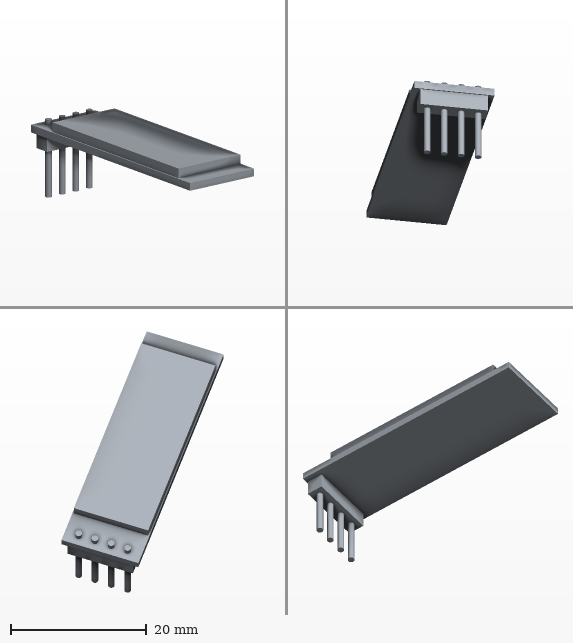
import cadquery as cq

total_height = 12.6

board_length = 38.0
board_width = 12.0
board_thickness = 1.18

panel_length = 30.02
panel_width = 11.6
panel_thickness = 1.5
panel_offset = 4.95

pin_count = 4
pin_pitch = 2.55
pin_diameter = 1.0
pin_protrusion = 0.85
header_offset = 0.2

header_size = pin_pitch
header_width = pin_count * pin_pitch
header_center_x = header_offset + header_size / 2
pin_bottom = board_thickness + panel_thickness - total_height
pin_top = board_thickness + pin_protrusion


def block(length, width, height, start_x, bottom):
    """Box centred on Y = 0, placed by its -X face and its bottom face."""
    return (
        cq.Workplane("XY")
        .box(length, width, height, centered=(False, True, False))
        .translate((start_x, 0, bottom))
    )


board = block(board_length, board_width, board_thickness, 0, 0)
panel = block(panel_length, panel_width, panel_thickness, panel_offset, board_thickness)
header = block(header_size, header_width, header_size, header_offset, -header_size)

pins = (
    cq.Workplane("XY", origin=(header_center_x, 0, pin_bottom))
    .rarray(pin_pitch, pin_pitch, 1, pin_count)
    .circle(pin_diameter / 2)
    .extrude(pin_top - pin_bottom)
)

result = board.union(panel).union(header).union(pins)